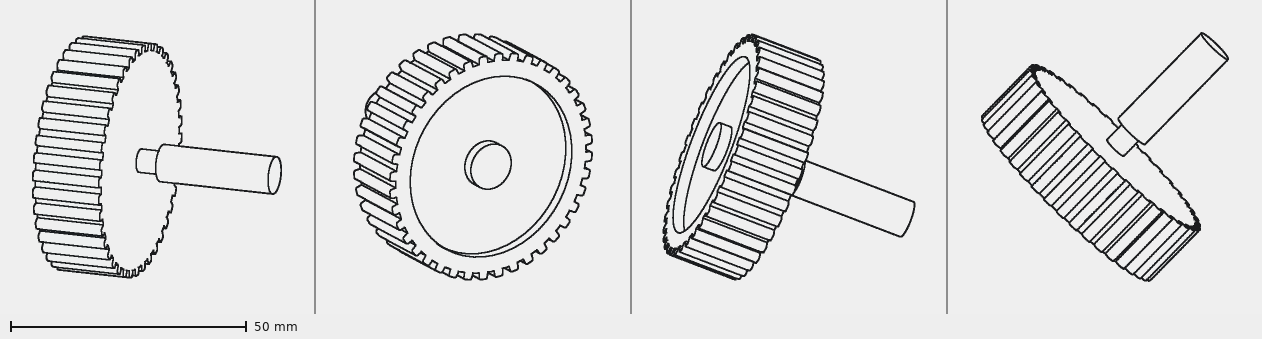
import cadquery as cq
import math

TOOTH_COUNT = 40
PITCH_ANGLE = 360 / TOOTH_COUNT
TIP_DIAMETER = 50.0
ROOT_DIAMETER = 47.0
WHEEL_WIDTH = 15

CROWN_WIDTH = 1.95
FLANK_ANGLE = PITCH_ANGLE / 2
TIP_ROUND = 0.5
FOOT_OVERLAP = 1

RECESS_DIAMETER = 39.95
RECESS_DEPTH = 2.5
HUB_DIAMETER = 10

NECK_DIAMETER = 5
NECK_LENGTH = 5
SHAFT_DIAMETER = 8
SHAFT_LENGTH = 25.5


def cylinder(diameter, start_x, length):
    """Solid cylinder along +X starting at start_x."""
    return cq.Workplane("YZ").workplane(offset=start_x).circle(diameter / 2).extrude(length)


def make_tooth():
    """Tapered tooth pointing along +Z, with a curved crown and rounded tip edges."""
    tip_radius = TIP_DIAMETER / 2
    half_crown = CROWN_WIDTH / 2
    shoulder = math.sqrt(tip_radius**2 - half_crown**2)
    foot = ROOT_DIAMETER / 2 - FOOT_OVERLAP
    half_foot = half_crown + (shoulder - foot) * math.tan(math.radians(FLANK_ANGLE))
    return (
        cq.Workplane("YZ")
        .moveTo(-half_foot, foot)
        .lineTo(-half_crown, shoulder)
        .threePointArc((0, tip_radius), (half_crown, shoulder))
        .lineTo(half_foot, foot)
        .close()
        .extrude(WHEEL_WIDTH)
        .edges("|X")
        .edges(">Z")
        .fillet(TIP_ROUND)
    )


def make_wheel():
    """Root cylinder with teeth placed so that a gap, not a tooth, lies on the Z axis."""
    wheel = cylinder(ROOT_DIAMETER, 0, WHEEL_WIDTH)
    tooth = make_tooth()
    for index in range(TOOTH_COUNT):
        angle = (index + 0.5) * PITCH_ANGLE
        wheel = wheel.union(tooth.rotate((0, 0, 0), (1, 0, 0), angle))
    return wheel


def make_recess():
    """Ring-shaped volume removed from the outer face around the hub."""
    return cylinder(RECESS_DIAMETER, 0, RECESS_DEPTH).cut(cylinder(HUB_DIAMETER, 0, RECESS_DEPTH))


neck = cylinder(NECK_DIAMETER, WHEEL_WIDTH, NECK_LENGTH)
shaft = cylinder(SHAFT_DIAMETER, WHEEL_WIDTH + NECK_LENGTH, SHAFT_LENGTH)

result = make_wheel().cut(make_recess()).union(neck).union(shaft)